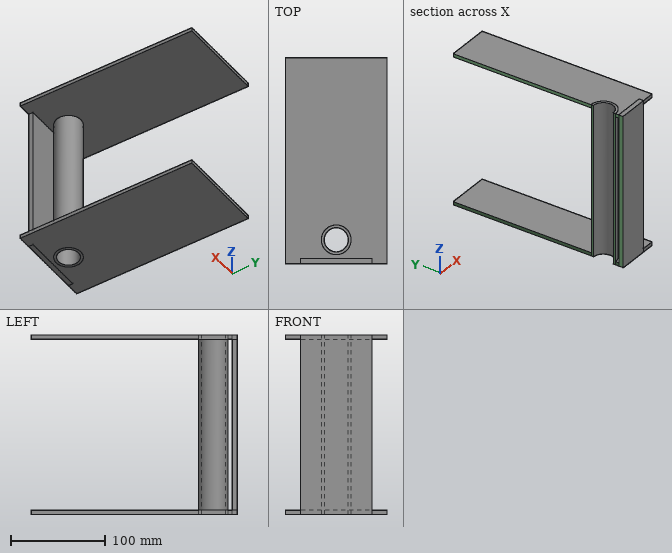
import cadquery as cq

plate_width = 108.0
plate_length = 219.0
frame_height = 190.5
plate_thickness = 4.5

web_width = 76.0
web_thickness = 5.7

tube_outer_diameter = 31.5
tube_inner_diameter = 25.5
tube_setback = 25.6

front_y = -plate_length / 2
tube_y = front_y + tube_setback


def make_web():
    """Upright web spanning the full height, flush with the front edges."""
    return (
        cq.Workplane("XY")
        .center(0, front_y + web_thickness / 2)
        .rect(web_width, web_thickness)
        .extrude(frame_height)
    )


def make_plate(bottom_z):
    """Horizontal plate with a notch for the web and a hole for the tube."""
    plate = (
        cq.Workplane("XY", origin=(0, 0, bottom_z))
        .rect(plate_width, plate_length)
        .extrude(plate_thickness)
    )
    tube_hole = (
        cq.Workplane("XY", origin=(0, tube_y, bottom_z))
        .circle(tube_outer_diameter / 2)
        .extrude(plate_thickness)
    )
    return plate.cut(make_web()).cut(tube_hole)


def make_tube():
    """Open tube whose ends are flush with the outer plate faces."""
    return (
        cq.Workplane("XY", origin=(0, tube_y, 0))
        .circle(tube_outer_diameter / 2)
        .circle(tube_inner_diameter / 2)
        .extrude(frame_height)
    )


web = make_web()
tube = make_tube()
plates = [make_plate(z).val() for z in (0, frame_height - plate_thickness)]

result = cq.Compound.makeCompound([web.val(), tube.val(), *plates])